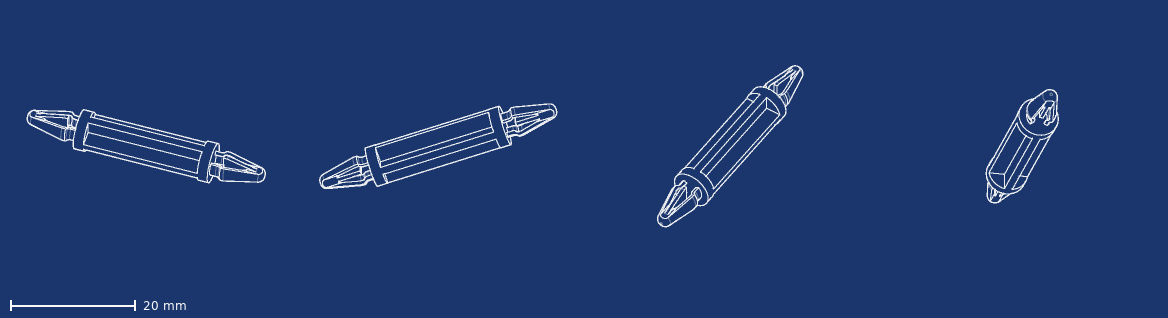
import cadquery as cq
import math

total_length = 39.78
tip_x = total_length / 2

body_diameter = 6.5
body_length = 22.5
collar_length = 1.7
web_thickness = 1.27
shoulder_x = body_length / 2

neck_radius = 2.0
barb_radius = 2.4
barb_outer_x = 13.6
barb_inner_x = 13.0
bevel_angle = math.radians(40)
neck_fillet = 0.8
nose_fillet = 1.05
nose_flat_radius = 0.2

wall = 0.6
hollow_end_x = 16.95
nose_half_height = 1.0
nose_half_width = 0.68
cut_angle = math.radians(30)

fin_thickness = 0.65
fin_foot_x = 18.5
fin_crest_x = 13.72
fin_back_x = 13.1
fin_height = 2.45

fillet_middle = bevel_angle / 2
fillet_rise = neck_fillet * (1 - math.cos(bevel_angle))
bevel_end_x = barb_inner_x - (barb_radius - neck_radius - fillet_rise) / math.tan(bevel_angle)
fillet_end_x = bevel_end_x - neck_fillet * math.sin(bevel_angle)
nose_center_x = tip_x - nose_fillet

barb_to_nose_x = nose_center_x - barb_outer_x
barb_to_nose_y = barb_radius - nose_flat_radius
cone_angle = math.atan2(barb_to_nose_y, barb_to_nose_x) - math.asin(
    nose_fillet / math.hypot(barb_to_nose_x, barb_to_nose_y)
)
nose_middle_angle = (math.pi / 2 - cone_angle) / 2


def add_barb_and_neck(profile, shift):
    """Continue from the barb edge to the shoulder, moved inwards by shift."""
    return (
        profile
        .lineTo(barb_inner_x, barb_radius - shift)
        .lineTo(bevel_end_x, neck_radius + fillet_rise - shift)
        .threePointArc(
            (
                fillet_end_x + neck_fillet * math.sin(fillet_middle),
                neck_radius + neck_fillet * (1 - math.cos(fillet_middle)) - shift,
            ),
            (fillet_end_x, neck_radius - shift),
        )
        .lineTo(shoulder_x, neck_radius - shift)
    )


def nose_point(angle):
    """Point on the nose rounding, with the angle measured from the X direction."""
    return (
        nose_center_x + nose_fillet * math.cos(angle),
        nose_flat_radius + nose_fillet * math.sin(angle),
    )


def turn_about_x(profile):
    return profile.close().revolve(360, (0, 0, 0), (1, 0, 0))


def make_body():
    body = cq.Workplane("YZ").circle(body_diameter / 2).extrude(shoulder_x, both=True)
    half_pocket = shoulder_x - collar_length
    pocket_center = (web_thickness + body_diameter) / 2
    for y_side in (-1, 1):
        for z_side in (-1, 1):
            pocket = (
                cq.Workplane("YZ")
                .center(y_side * pocket_center, z_side * pocket_center)
                .rect(body_diameter, body_diameter)
                .extrude(half_pocket, both=True)
            )
            body = body.cut(pocket)
    return body


def make_turned_head():
    nose = (
        cq.Workplane("XY")
        .moveTo(shoulder_x, 0)
        .lineTo(tip_x, 0)
        .lineTo(tip_x, nose_flat_radius)
        .threePointArc(nose_point(nose_middle_angle), nose_point(math.pi / 2 - cone_angle))
        .lineTo(barb_outer_x, barb_radius)
    )
    return turn_about_x(add_barb_and_neck(nose, 0))


def make_bow_tie_bar():
    """Bar along X that leaves a flat strip in the middle and slopes up to both sides."""
    side_y = body_diameter / 2
    side_z = nose_half_height + (side_y - nose_half_width) * math.tan(cut_angle)
    return (
        cq.Workplane("YZ", origin=(shoulder_x, 0, 0))
        .polyline([
            (-side_y, side_z),
            (-nose_half_width, nose_half_height),
            (nose_half_width, nose_half_height),
            (side_y, side_z),
            (side_y, -side_z),
            (nose_half_width, -nose_half_height),
            (-nose_half_width, -nose_half_height),
            (-side_y, -side_z),
        ])
        .close()
        .extrude(tip_x - shoulder_x)
    )


def make_hollow():
    """Turned space between the arms; it follows the outside of the head one wall further in."""
    end_radius = barb_radius - (hollow_end_x - barb_outer_x) * math.tan(cone_angle) - wall
    half_profile = (
        cq.Workplane("XY")
        .moveTo(shoulder_x, 0)
        .lineTo(hollow_end_x, 0)
        .lineTo(hollow_end_x, end_radius)
        .lineTo(barb_outer_x, barb_radius - wall)
    )
    return turn_about_x(add_barb_and_neck(half_profile, wall))


def make_fin():
    return (
        cq.Workplane("XZ")
        .polyline([
            (fin_foot_x, -nose_half_height),
            (fin_foot_x, nose_half_height),
            (fin_crest_x, fin_height),
            (fin_back_x, fin_height),
            (fin_back_x, -nose_half_height),
        ])
        .close()
        .extrude(fin_thickness / 2, both=True)
    )


def make_snap():
    head = make_turned_head().intersect(make_bow_tie_bar())
    return head.cut(make_hollow()).union(make_fin())


snap = make_snap()
result = make_body().union(snap).union(snap.mirror("YZ"))